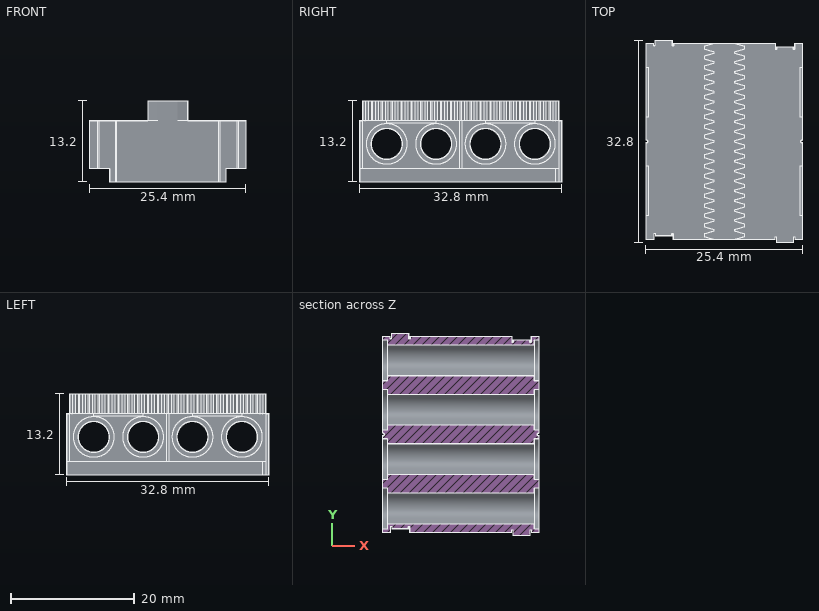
import cadquery as cq

body_width = 25.4
body_length = 31.8
body_height = 9.97
foot_width = 18.9
foot_height = 2.2

rail_height = 3.2
rail_half_width = 3.25
tooth_depth = 1.6
teeth_per_hole = 5
tooth_tip = 0.45
tooth_root_gap = 0.2

hole_pitch = 8.0
hole_count = 4
hole_diameter = 5.0
counterbore_diameter = 6.6
counterbore_depth = 0.8
hole_height = 6.2

lock_offset = 9.85
tab_width = 2.82
tab_height = 0.5
recess_width = 3.08
recess_depth = 0.6
relief_width = 0.2
relief_depth = 0.4

edge_step_width = 0.4
edge_step_depth = 0.4
groove_width = 0.4
groove_depth = 0.3

half_width = body_width / 2
end_face = body_length / 2
edge_step_length = hole_pitch
edge_step_offset = hole_pitch
tooth_pitch = hole_pitch / teeth_per_hole
tooth_count = hole_count * teeth_per_hole


def upright_block(x_min, x_max, y_min, y_max):
    """Full-height block of the body between the given X and Y limits."""
    return cq.Workplane("XY").box(
        x_max - x_min, y_max - y_min, body_height, centered=False
    ).translate((x_min, y_min, 0))


def make_plan():
    """Full-height body with tabs, recesses and relief slots."""
    plan = upright_block(-half_width, half_width, -end_face, end_face)
    tab_half = tab_width / 2
    recess_half = recess_width / 2
    tab = upright_block(
        -lock_offset - tab_half, -lock_offset + tab_half, end_face, end_face + tab_height
    )
    recess = upright_block(
        lock_offset - recess_half, lock_offset + recess_half, end_face - recess_depth, end_face
    )
    cutouts = recess
    for side in (-1, 1):
        tab_relief_x = -lock_offset + side * (tab_half + relief_width / 2)
        recess_relief_x = lock_offset + side * (recess_half - relief_width / 2)
        for x, surface in ((tab_relief_x, end_face), (recess_relief_x, end_face - recess_depth)):
            relief = upright_block(
                x - relief_width / 2, x + relief_width / 2, surface - relief_depth, surface
            )
            cutouts = cutouts.union(relief)
    for angle in (0, 180):
        plan = plan.union(tab.rotate((0, 0, 0), (0, 0, 1), angle))
        plan = plan.cut(cutouts.rotate((0, 0, 0), (0, 0, 1), angle))
    return plan


def cut_foot_steps(body):
    """Remove the lower side edges, leaving the narrower foot."""
    step_width = (body_width - foot_width) / 2
    for side in (-1, 1):
        step = cq.Workplane("XY").box(
            step_width, 2 * body_length, foot_height, centered=(True, True, False)
        )
        body = body.cut(step.translate((side * (half_width - step_width / 2), 0, 0)))
    return body


def make_rail():
    """Rail with tapered teeth along both sides, trimmed flush with the end faces."""
    root_x = rail_half_width - tooth_depth
    root_half = (tooth_pitch - tooth_root_gap) / 2
    tip_half = tooth_tip / 2
    rail = cq.Workplane("XY").box(
        2 * root_x, body_length, rail_height, centered=(True, True, False)
    )
    tooth = (
        cq.Workplane("XY")
        .polyline([
            (-rail_half_width, -tip_half),
            (-root_x, -root_half),
            (root_x, -root_half),
            (rail_half_width, -tip_half),
            (rail_half_width, tip_half),
            (root_x, root_half),
            (-root_x, root_half),
            (-rail_half_width, tip_half),
        ])
        .close()
        .extrude(rail_height)
    )
    for index in range(tooth_count):
        rail = rail.union(tooth.translate((0, (index - (tooth_count - 1) / 2) * tooth_pitch, 0)))
    envelope = cq.Workplane("XY").box(
        body_width, body_length, rail_height, centered=(True, True, False)
    )
    return rail.intersect(envelope).translate((0, 0, body_height))


def cut_cross_holes(body):
    """Drill the row of through holes and counterbore both sides."""
    centers = [
        ((index - (hole_count - 1) / 2) * hole_pitch, hole_height) for index in range(hole_count)
    ]
    row = cq.Workplane("YZ").pushPoints(centers)
    body = body.cut(row.circle(hole_diameter / 2).extrude(half_width, both=True))
    counterbores = row.circle(counterbore_diameter / 2).extrude(counterbore_depth)
    for start in (-half_width, half_width - counterbore_depth):
        body = body.cut(counterbores.translate((start, 0, 0)))
    return body


def cut_side_details(body):
    """Cut the top edge steps and the central upright groove on both sides."""
    edge_step = cq.Workplane("XY").box(2 * edge_step_width, edge_step_length, 2 * edge_step_depth)
    groove_length = 2 * groove_depth
    groove = cq.Workplane("XY").slot2D(groove_length, groove_width).extrude(body_height)
    for side in (-1, 1):
        x = side * half_width
        body = body.cut(groove.translate((x, 0, 0)))
        for y in (-edge_step_offset, edge_step_offset):
            body = body.cut(edge_step.translate((x, y, body_height)))
    return body


body = cut_foot_steps(make_plan())
body = cut_cross_holes(body)
body = cut_side_details(body)
result = body.union(make_rail())